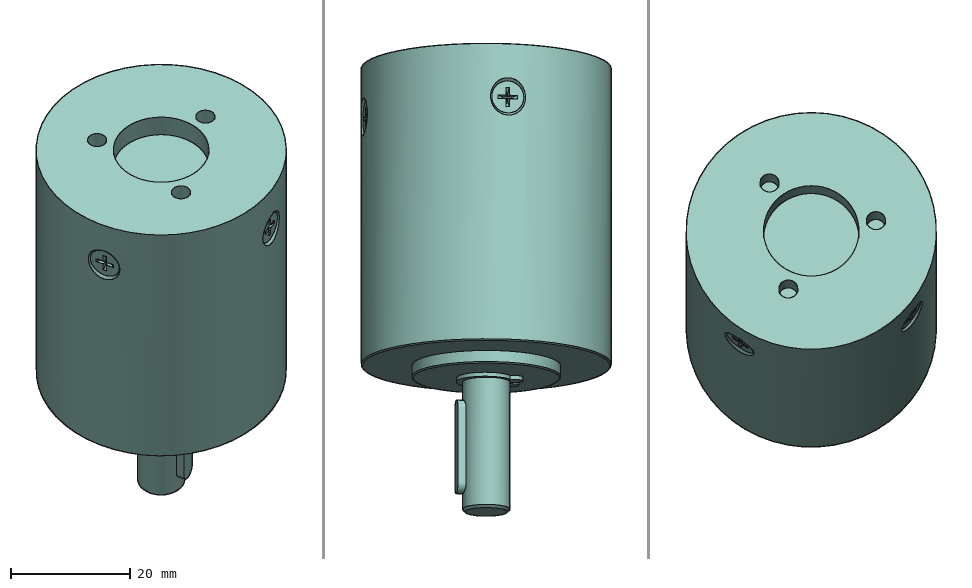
import cadquery as cq

TOTAL_HEIGHT = 76.0

BODY_DIAMETER = 42.0
HOUSING_LENGTH = 41.1
CAP_LENGTH = 9.8
CAP_CHAMFER = 0.2

BOSS_DIAMETER = 25.0
BOSS_LENGTH = 2.1
BOSS_CHAMFER = 0.2

SHAFT_DIAMETER = 8.0
SHAFT_CHAMFER = 0.45
KEY_WIDTH = 3.05
KEY_LENGTH = 16.0
KEY_BOTTOM = 3.0
KEY_REACH = 5.1

RING_THICKNESS = 0.7
RING_DIAMETER = 9.6
RING_OFFSET = 0.2
LUG_DIAMETER = 2.4
LUG_GAP = 1.1
LUG_REACH = 5.9

BORE_DIAMETER = 16.0
BORE_DEPTH = 4.0
MOUNT_HOLE_DIAMETER = 3.2
MOUNT_HOLE_DEPTH = BORE_DEPTH
MOUNT_CIRCLE_RADIUS = 11.0
MOUNT_HOLE_COUNT = 3
MOUNT_FIRST_ANGLE = 75.0

SCREW_COUNT = 4
SCREW_DROP = 9.05
SCREW_HEAD_DIAMETER = 5.5
SCREW_HEAD_DEPTH = 0.45
CROSS_LENGTH = 3.3
CROSS_FLOOR_LENGTH = 1.5
CROSS_WIDTH = 0.6
CROSS_FLOOR_WIDTH = 0.2
CROSS_DEPTH = 0.7

body_radius = BODY_DIAMETER / 2
seam_z = TOTAL_HEIGHT - HOUSING_LENGTH
cap_bottom = seam_z - CAP_LENGTH
boss_bottom = cap_bottom - BOSS_LENGTH
ring_bottom = boss_bottom - RING_THICKNESS


def cylinder(diameter, bottom, top):
    return cq.Workplane("XY").workplane(offset=bottom).circle(diameter / 2).extrude(top - bottom)


def make_housing():
    """Housing and cap in one cylinder, with the boss below."""
    housing = cylinder(BODY_DIAMETER, cap_bottom, TOTAL_HEIGHT).faces("<Z").chamfer(CAP_CHAMFER)
    boss = cylinder(BOSS_DIAMETER, boss_bottom, cap_bottom).faces("<Z").chamfer(BOSS_CHAMFER)
    return housing.union(boss)


def make_shaft():
    return cylinder(SHAFT_DIAMETER, 0, boss_bottom).faces("<Z").chamfer(SHAFT_CHAMFER)


def make_key():
    """Round-ended key standing out of the +X side of the shaft."""
    return (
        cq.Workplane("YZ")
        .center(0, KEY_BOTTOM + KEY_LENGTH / 2)
        .slot2D(KEY_LENGTH, KEY_WIDTH, 90)
        .extrude(KEY_REACH)
    )


def make_retaining_ring():
    """Open ring against the boss; a slot on the -X side parts the two lugs."""
    lug_x = LUG_DIAMETER / 2 - LUG_REACH
    lug_y = (LUG_GAP + LUG_DIAMETER) / 2
    plane = cq.Workplane("XY").workplane(offset=ring_bottom)
    ring = plane.center(RING_OFFSET, 0).circle(RING_DIAMETER / 2).extrude(RING_THICKNESS)
    for side in (-1, 1):
        lug_end = plane.center(lug_x, side * lug_y).circle(LUG_DIAMETER / 2).extrude(RING_THICKNESS)
        lug_arm = (
            plane.center(lug_x / 2, side * lug_y)
            .rect(-lug_x, LUG_DIAMETER)
            .extrude(RING_THICKNESS)
        )
        ring = ring.union(lug_end).union(lug_arm)
    slot = plane.center(-LUG_REACH / 2, 0).rect(LUG_REACH, LUG_GAP).extrude(RING_THICKNESS)
    return ring.cut(slot)


def make_top_recesses():
    bore = cylinder(BORE_DIAMETER, TOTAL_HEIGHT - BORE_DEPTH, TOTAL_HEIGHT)
    mount_holes = (
        cq.Workplane("XY")
        .workplane(offset=TOTAL_HEIGHT - MOUNT_HOLE_DEPTH)
        .polarArray(MOUNT_CIRCLE_RADIUS, MOUNT_FIRST_ANGLE, 360, MOUNT_HOLE_COUNT)
        .circle(MOUNT_HOLE_DIAMETER / 2)
        .extrude(MOUNT_HOLE_DEPTH)
    )
    return bore.union(mount_holes)


def make_screw_recess():
    """90 degree countersink down to the flat screw head, with its tapered cross, on the +X side."""
    head_x = body_radius - SCREW_HEAD_DEPTH
    head_radius = SCREW_HEAD_DIAMETER / 2
    screw_z = TOTAL_HEIGHT - SCREW_DROP
    screw_plane = cq.Workplane("YZ", origin=(0, 0, screw_z))
    recess = (
        screw_plane.workplane(offset=head_x)
        .circle(head_radius)
        .workplane(offset=SCREW_HEAD_DEPTH)
        .circle(head_radius + SCREW_HEAD_DEPTH)
        .loft()
    )
    cross_bar = (
        screw_plane.workplane(offset=head_x - CROSS_DEPTH)
        .rect(CROSS_FLOOR_LENGTH, CROSS_FLOOR_WIDTH)
        .workplane(offset=CROSS_DEPTH)
        .rect(CROSS_LENGTH, CROSS_WIDTH)
        .loft()
    )
    upright_bar = cross_bar.rotate((0, 0, screw_z), (1, 0, screw_z), 90)
    return recess.union(cross_bar).union(upright_bar)


result = make_housing().cut(make_top_recesses())
screw_recess = make_screw_recess()
for index in range(SCREW_COUNT):
    angle = index * 360 / SCREW_COUNT
    result = result.cut(screw_recess.rotate((0, 0, 0), (0, 0, 1), angle))
result = result.union(make_retaining_ring()).union(make_shaft()).union(make_key())